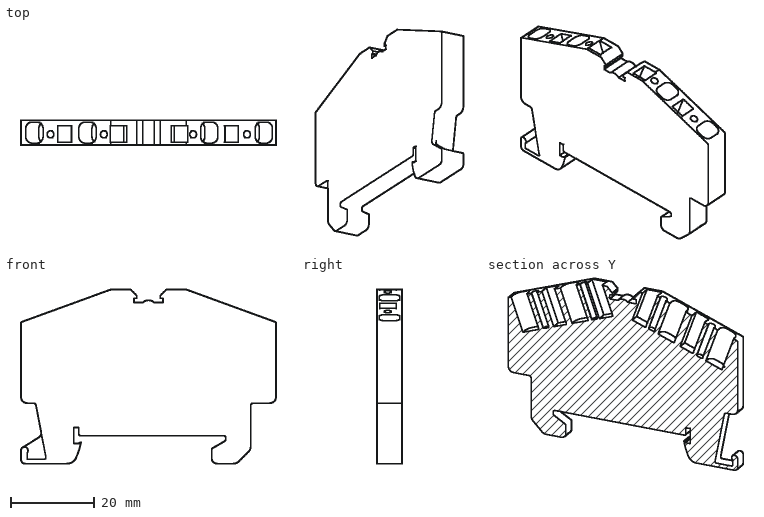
import cadquery as cq
import math

length = 61.5
thickness = 6.0
height = 42.0

center_x = 30.75
slope_angle = 20.0
crown_half = 9.1
shoulder_radius = 0.4

mouth_half = 4.3
throat_half = 2.8
groove_half = 3.45
throat_top_z = 40.5
throat_bottom_z = 39.85
groove_floor_z = 38.85
mouth_radius = 0.35
bump_half = 1.35
bump_height = 0.55

body_bottom_z = 14.6
body_radius = 1.55
leg_radius = 0.55

rail_z = 6.7
slot_left = 12.8
slot_right = 13.9
slot_top_z = 8.75
slot_radius = 0.55

leg_angle = 11.0
leg_top_x = 3.5
foot_corner_radius = 1.05
hook_z = 4.9
hook_lip = 0.25
hook_x = 14.5
foot_front_radius = 14.75
foot_knee_z = 2.8
foot_upper_angle = 13.0
foot_lower_angle = 25.0
foot_radius = 2.4

web_thickness = 1.15
web_angle = 32.0
web_radius = 1.2
pocket_floor_z = 1.1
pocket_top_z = 9.2
pocket_radius = 0.35
lip_thickness = 1.5
bead_radius = 0.85
bead_z = 3.2

claw_tip_x = 45.95
claw_tip_z = 3.6
claw_inner_x = 49.3
claw_angle = 30.0
claw_inner_radius = 0.35
claw_radius = 1.35
claw_edge_radius = 0.3
right_leg_x = 55.4
right_chamfer = 3.45
right_chamfer_radius = 1.8

hole_depth = 9.2
test_y = 2.6
test_diameter = 1.7
square_y = 2.65
square_length = 3.5
square_width = 3.95
entry_y = 3.0
entry_length = 4.4
entry_width = 5.05
entry_radius = 1.55
crown_pocket_length = 3.7
crown_pocket_depth = 8.75

entry_x = (3.25, 16.05, 45.4, 58.55)
test_x = (7.15, 20.0, 41.5, 54.5)
square_x = (10.6, 50.75)
crown_pocket_x = (23.5, 38.25)


def tangent(degrees):
    return math.tan(math.radians(degrees))


def rounded_prism(corners, depth):
    """Prism from y = 0 to y = depth; each corner is (x, z) or (x, z, radius)."""
    count = len(corners)
    path = None
    for i, corner in enumerate(corners):
        x, z = corner[:2]
        radius = corner[2] if len(corner) == 3 else 0
        point = cq.Vector(x, z, 0)
        back = (cq.Vector(*corners[i - 1][:2]) - point).normalized()
        ahead = (cq.Vector(*corners[(i + 1) % count][:2]) - point).normalized()
        half_angle = back.getAngle(ahead) / 2
        setback = radius / math.tan(half_angle)
        start = point + back * setback
        if path is None:
            path = cq.Workplane("XZ").moveTo(start.x, start.y)
        else:
            path = path.lineTo(start.x, start.y)
        if radius:
            end = point + ahead * setback
            to_arc = radius / math.sin(half_angle) - radius
            middle = point + (back + ahead).normalized() * to_arc
            path = path.threePointArc((middle.x, middle.y), (end.x, end.y))
    return path.close().extrude(-depth)


def leg_x(z):
    """X of the slanted outer face of the left leg."""
    return leg_top_x + (body_bottom_z - z) * tangent(leg_angle)


def roof_z(x):
    """Height of the roof at a given X."""
    return height - max(abs(x - center_x) - crown_half, 0) * tangent(slope_angle)


bead_x = bead_radius
touch_x = bead_x - bead_radius * math.sin(math.radians(web_angle))
touch_z = bead_z + bead_radius * math.cos(math.radians(web_angle))
edge_start_z = touch_z - touch_x * tangent(web_angle)
edge_rise = tangent(web_angle)
web_top_z = (edge_start_z + leg_x(0) * edge_rise) / (1 + tangent(leg_angle) * edge_rise)


def make_body():
    """Side outline of the whole terminal block, as thick as the part."""
    left_edge = [
        (0, 0, foot_corner_radius),
        (0, edge_start_z, bead_radius),
        (leg_x(web_top_z), web_top_z, web_radius),
        (leg_x(body_bottom_z), body_bottom_z, leg_radius),
        (0, body_bottom_z, body_radius),
        (0, roof_z(0), shoulder_radius),
    ]
    crown = [
        (center_x - crown_half, height),
        (center_x - mouth_half, height, mouth_radius),
        (center_x - throat_half, throat_top_z),
        (center_x - throat_half, throat_bottom_z),
        (center_x - groove_half, throat_bottom_z),
        (center_x - groove_half, groove_floor_z),
        (center_x + groove_half, groove_floor_z),
        (center_x + groove_half, throat_bottom_z),
        (center_x + throat_half, throat_bottom_z),
        (center_x + throat_half, throat_top_z),
        (center_x + mouth_half, height, mouth_radius),
        (center_x + crown_half, height),
    ]
    claw_inner_z = claw_tip_z + (claw_inner_x - claw_tip_x) * tangent(claw_angle)
    right_edge = [
        (length, roof_z(length), shoulder_radius),
        (length, body_bottom_z, body_radius),
        (right_leg_x, body_bottom_z, leg_radius),
        (right_leg_x, right_chamfer, right_chamfer_radius),
        (right_leg_x - right_chamfer, 0, right_chamfer_radius),
        (claw_tip_x, 0, claw_radius),
        (claw_tip_x, claw_tip_z, claw_edge_radius),
        (claw_inner_x, claw_inner_z, claw_inner_radius),
        (claw_inner_x, rail_z, claw_inner_radius),
    ]
    hook_top_z = hook_z + hook_lip
    foot_knee_x = hook_x - (hook_top_z - foot_knee_z) * tangent(foot_upper_angle)
    rail_seat = [
        (slot_right, rail_z, slot_radius),
        (slot_right, slot_top_z),
        (slot_left, slot_top_z),
        (slot_left, hook_z),
        (hook_x - 2 * hook_lip, hook_z),
        (hook_x - hook_lip, hook_top_z),
        (hook_x, hook_top_z),
        (foot_knee_x, foot_knee_z, foot_front_radius),
        (foot_knee_x - foot_knee_z * tangent(foot_lower_angle), 0, foot_radius),
    ]
    return rounded_prism(left_edge + crown + right_edge + rail_seat, thickness)


def make_bump():
    """Low rounded rib across the floor of the marker groove."""
    return (
        cq.Workplane("XZ")
        .moveTo(center_x - bump_half, groove_floor_z)
        .threePointArc((center_x, groove_floor_z + bump_height), (center_x + bump_half, groove_floor_z))
        .close()
        .extrude(-thickness)
    )


def make_release_pocket():
    """Space between the leg and the lip, stopping at the web; the bead is left standing."""
    depth = thickness - web_thickness
    pocket = rounded_prism(
        [
            (leg_x(pocket_floor_z), pocket_floor_z, pocket_radius),
            (lip_thickness, pocket_floor_z, pocket_radius / 2),
            (lip_thickness, bead_z),
            (bead_x, bead_z),
            (touch_x, touch_z),
            (touch_x, pocket_top_z),
            (leg_x(pocket_top_z), pocket_top_z),
        ],
        depth,
    )
    bead = cq.Workplane("XZ").center(bead_x, bead_z).circle(bead_radius).extrude(-depth)
    return pocket.cut(bead)


def roof_plane(x, y):
    """Sketch plane on the roof, parallel to the slope on that side of the center."""
    lean = math.radians(slope_angle) * math.copysign(1, x - center_x)
    normal = (math.sin(lean), 0, math.cos(lean))
    along = (math.cos(lean), 0, -math.sin(lean))
    return cq.Workplane(cq.Plane(origin=(x, y, roof_z(x)), xDir=along, normal=normal))


def rectangle_cutter(x, length_along, depth):
    """Rectangular cutter reaching the given depth below the roof and as far above it."""
    return roof_plane(x, square_y).rect(length_along, square_width).extrude(depth, both=True)


def entry_cutter(x):
    """Cutter for a wire entry: a rectangle with generously rounded corners."""
    outline = cq.Sketch().rect(entry_length, entry_width).vertices().fillet(entry_radius)
    return roof_plane(x, entry_y).placeSketch(outline).extrude(hole_depth, both=True)


def test_cutter(x):
    """Cutter for a round test hole."""
    return roof_plane(x, test_y).circle(test_diameter / 2).extrude(hole_depth, both=True)


cutters = [make_release_pocket()]
cutters += [entry_cutter(x) for x in entry_x]
cutters += [test_cutter(x) for x in test_x]
cutters += [rectangle_cutter(x, square_length, hole_depth) for x in square_x]
cutters += [rectangle_cutter(x, crown_pocket_length, crown_pocket_depth) for x in crown_pocket_x]

result = make_body().union(make_bump())
for cutter in cutters:
    result = result.cut(cutter)